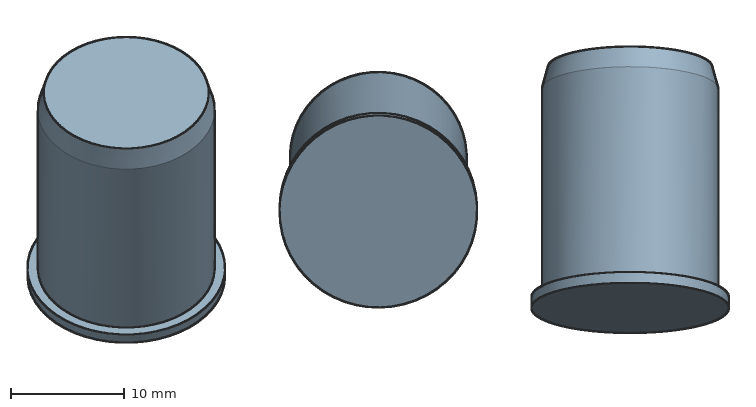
import cadquery as cq
import math

total_height = 22.0
flange_diameter = 17.5
flange_thickness = 1.0
body_diameter = 15.66
taper_height = 2.0
taper_angle = 15.0

flange_radius = flange_diameter / 2
body_radius = body_diameter / 2
tip_radius = body_radius - taper_height * math.tan(math.radians(taper_angle))
taper_start = total_height - taper_height

half_section = (
    cq.Workplane("XZ")
    .moveTo(0, 0)
    .lineTo(flange_radius, 0)
    .lineTo(flange_radius, flange_thickness)
    .lineTo(body_radius, flange_thickness)
    .lineTo(body_radius, taper_start)
    .lineTo(tip_radius, total_height)
    .lineTo(0, total_height)
    .close()
)

result = half_section.revolve(360, (0, 0, 0), (0, 1, 0))